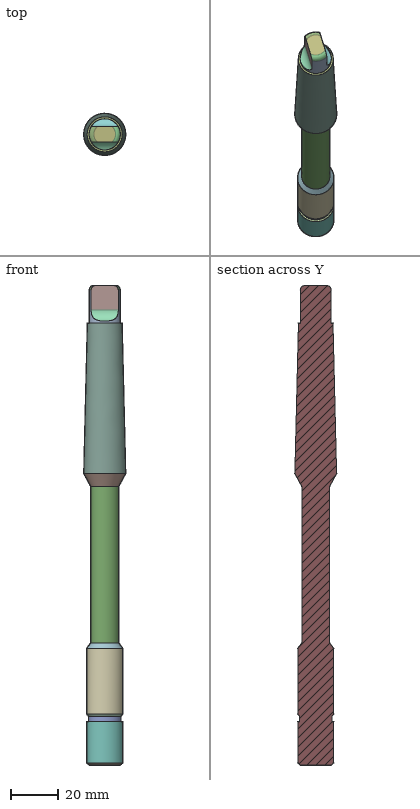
import cadquery as cq
import math

total_length = 204.0
groove_bottom = 18.5
groove_top = 21.8
collar_top = 49.8
taper_bottom = 124.0
taper_top = 187.9
tang_flat_bottom = 193.5

collar_diameter = 15.5
groove_diameter = 13.9
shank_diameter = 12.0
taper_large_diameter = 18.0
taper_small_diameter = 14.9
tang_diameter = 13.3

end_chamfer_width = 1.2
end_chamfer_height = 1.0
groove_bevel_height = 1.0
collar_cone_height = 2.2
taper_relief_height = 5.5
tang_thickness = 6.5
tang_runout_radius = 5.0
tang_tip_fillet = 2.0


def turned_body():
    """Revolve the stepped profile of the collar, shank, taper and tang."""
    collar_radius = collar_diameter / 2
    groove_radius = groove_diameter / 2
    shank_radius = shank_diameter / 2
    tang_radius = tang_diameter / 2
    collar_cone_top = collar_top + collar_cone_height
    groove_floor_top = groove_top - groove_bevel_height
    fillet_center_r = tang_radius - tang_tip_fillet
    fillet_center_z = total_length - tang_tip_fillet
    fillet_mid_offset = tang_tip_fillet * math.sqrt(0.5)
    return (
        cq.Workplane("XZ")
        .moveTo(0, 0)
        .lineTo(collar_radius - end_chamfer_width, 0)
        .lineTo(collar_radius, end_chamfer_height)
        .lineTo(collar_radius, groove_bottom)
        .lineTo(groove_radius, groove_bottom)
        .lineTo(groove_radius, groove_floor_top)
        .lineTo(collar_radius, groove_top)
        .lineTo(collar_radius, collar_top)
        .lineTo(shank_radius, collar_cone_top)
        .lineTo(shank_radius, taper_bottom - taper_relief_height)
        .lineTo(taper_large_diameter / 2, taper_bottom)
        .lineTo(taper_small_diameter / 2, taper_top)
        .lineTo(tang_radius, taper_top)
        .lineTo(tang_radius, fillet_center_z)
        .threePointArc(
            (fillet_center_r + fillet_mid_offset, fillet_center_z + fillet_mid_offset),
            (fillet_center_r, total_length),
        )
        .lineTo(0, total_length)
        .close()
        .revolve(360, (0, 0), (0, 1))
    )


def tang_flat_cutter():
    """Material removed on the +Y side, ending in a concave cutter run-out."""
    flat_y = tang_thickness / 2
    runout_center_y = flat_y + tang_runout_radius
    above_flat = total_length - tang_flat_bottom
    slot = (
        cq.Workplane("XY")
        .box(tang_diameter, 2 * tang_runout_radius, above_flat, centered=(True, True, False))
        .translate((0, runout_center_y, tang_flat_bottom))
    )
    runout = (
        cq.Workplane("YZ")
        .center(runout_center_y, tang_flat_bottom)
        .circle(tang_runout_radius)
        .extrude(tang_diameter / 2, both=True)
    )
    return slot.union(runout)


flat_cutter = tang_flat_cutter()
result = turned_body().cut(flat_cutter).cut(flat_cutter.mirror("XZ"))